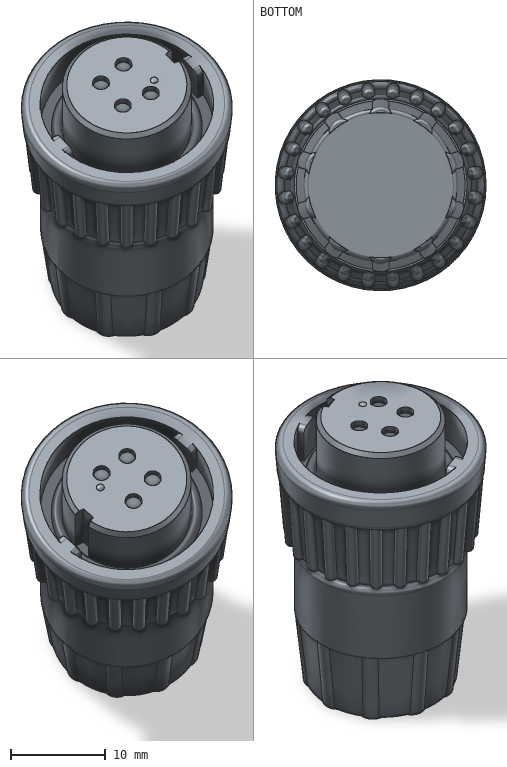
import cadquery as cq
import math

total_height = 33.85
cable_end_z = 0.15
barrel_bottom_z = 8.8
barrel_top_z = 17.7
ring_bottom_z = 18.52
knurl_top_z = 26.68
ring_top_z = 30.55
insert_top_z = 33.75
socket_floor_z = 26.35

grip_slope = 0.1
ring_slope = 0.075

grip_top_radius = 8.9
grip_bottom_round = 0.4
grip_rib_count = 10
grip_rib_first_angle = 18.0
grip_rib_radius = 1.6
grip_rib_rise = 0.2
grip_rib_inner_radius = 7.65

rib_overrun = 0.35

barrel_radius = 9.1
barrel_top_round = 0.7
neck_radius = 7.82

ring_top_diameter = 22.38
ring_top_round = 0.8
band_bottom_round = 0.68
ring_bottom_round = 0.45
socket_radius = 9.15
knurl_depth = 0.75
knurl_count = 24
knurl_rib_radius = 0.68
knurl_rib_inset = 0.07

tab_width = 2.95
tab_inner_y = 8.25
tab_corner_round = 0.75
tab_root_depth = 0.35

insert_radius = 6.8
insert_chamfer_width = 0.47
insert_chamfer_height = 0.45
seal_radius = 0.58
keyway_mouth_width = 2.03
keyway_floor_width = 1.42
keyway_floor_y = 5.75
contact_circle_radius = 2.75
contact_angles = (30.0, 150.0, 226.3, 313.7)
contact_radius = 0.88
contact_depth = 0.78
mark_x = 1.25
mark_y = 2.67
mark_radius = 0.4


def grip_radius(z):
    return grip_top_radius - grip_slope * (barrel_bottom_z - z)


def ring_radius(z):
    return ring_top_diameter / 2 - ring_slope * (ring_top_z - z)


def cone(radius_at, z_bottom, z_top, offset=0.0):
    """Solid cone between two heights whose radius follows radius_at(z) + offset."""
    return (
        cq.Workplane("XZ")
        .moveTo(0, z_bottom)
        .lineTo(radius_at(z_bottom) + offset, z_bottom)
        .lineTo(radius_at(z_top) + offset, z_top)
        .lineTo(0, z_top)
        .close()
        .revolve(360, (0, 0), (0, 1))
    )


def disc(radius, z_bottom, z_top):
    return cq.Workplane("XY").workplane(offset=z_bottom).circle(radius).extrude(z_top - z_bottom)


def leaning_ribs(radius_at, crest_offset, rib_radius, end_round, z_bottom, z_top, count, first_angle):
    """Round bars spaced about Z, their crests on a cone of radius_at(z) + crest_offset.

    Each bar is cut square to Z at both heights and its lower end is rounded.
    """
    axis_offset = crest_offset - rib_radius
    foot = cq.Vector(radius_at(z_bottom - rib_overrun) + axis_offset, 0, z_bottom - rib_overrun)
    head = cq.Vector(radius_at(z_top + rib_overrun) + axis_offset, 0, z_top + rib_overrun)
    lean = head - foot
    bar = (
        cq.Workplane(cq.Solid.makeCylinder(rib_radius, lean.Length, foot, lean))
        .intersect(disc(ring_top_diameter, z_bottom, z_top))
        .faces("<Z").edges().fillet(end_round)
    )
    ribs = cq.Workplane("XY")
    for i in range(count):
        ribs = ribs.add(bar.rotate((0, 0, 0), (0, 0, 1), first_angle + i * 360 / count))
    return ribs.combine()


def make_grip():
    core = cone(grip_radius, cable_end_z, barrel_bottom_z).faces("<Z").edges().fillet(grip_bottom_round)
    ribs = leaning_ribs(
        grip_radius, grip_rib_rise, grip_rib_radius, grip_bottom_round,
        0, barrel_bottom_z, grip_rib_count, grip_rib_first_angle,
    )
    return core.union(ribs.cut(disc(grip_rib_inner_radius, 0, cable_end_z)))


def make_barrel():
    barrel = disc(barrel_radius, barrel_bottom_z, barrel_top_z).faces(">Z").edges().fillet(barrel_top_round)
    return barrel.union(disc(neck_radius, barrel_top_z, ring_bottom_z))


def make_coupling_ring():
    band = (
        cone(ring_radius, knurl_top_z, ring_top_z)
        .faces(">Z").edges().fillet(ring_top_round)
        .faces("<Z").edges().fillet(band_bottom_round)
    )
    root = (
        cone(ring_radius, ring_bottom_z, knurl_top_z, -knurl_depth)
        .faces("<Z").edges().fillet(ring_bottom_round)
    )
    ribs = leaning_ribs(
        ring_radius, -knurl_rib_inset, knurl_rib_radius, ring_bottom_round,
        ring_bottom_z, knurl_top_z + band_bottom_round, knurl_count, 180 / knurl_count,
    )
    return root.union(band).union(ribs).cut(disc(socket_radius, socket_floor_z, ring_top_z))


def make_tabs():
    """Two inward tabs with rounded shoulders, at +Y and -Y of the socket."""
    tab_outer_y = socket_radius + tab_root_depth
    tab_height = ring_top_z - socket_floor_z
    tab = (
        cq.Workplane("XY")
        .box(tab_width, tab_outer_y - tab_inner_y, tab_height, centered=(True, False, False))
        .edges("|Y and >Z").fillet(tab_corner_round)
        .translate((0, tab_inner_y, socket_floor_z))
    )
    return tab.union(tab.mirror("XZ"))


def make_insert():
    post = disc(insert_radius, socket_floor_z, insert_top_z)
    post = post.faces(">Z").edges().chamfer(insert_chamfer_height, insert_chamfer_width)
    keyway = (
        cq.Workplane("XY")
        .workplane(offset=socket_floor_z)
        .moveTo(-keyway_floor_width / 2, keyway_floor_y)
        .lineTo(keyway_floor_width / 2, keyway_floor_y)
        .lineTo(keyway_mouth_width / 2, insert_radius)
        .lineTo(-keyway_mouth_width / 2, insert_radius)
        .close()
        .extrude(insert_top_z - socket_floor_z)
    )
    contact_points = [
        (contact_circle_radius * math.cos(math.radians(a)), contact_circle_radius * math.sin(math.radians(a)))
        for a in contact_angles
    ]
    contacts = (
        cq.Workplane("XY")
        .workplane(offset=insert_top_z - contact_depth)
        .pushPoints(contact_points)
        .circle(contact_radius)
        .extrude(contact_depth)
    )
    return post.cut(keyway).cut(contacts)


def make_seal():
    """Sealing ring half sunk in the socket floor, hugging the insert."""
    return (
        cq.Workplane("XZ")
        .center(insert_radius + seal_radius, socket_floor_z)
        .circle(seal_radius)
        .revolve(360, (-insert_radius - seal_radius, 0), (-insert_radius - seal_radius, 1))
    )


def make_mark():
    """Low domed dot on the mating face beside one of the contacts."""
    rise = total_height - insert_top_z
    dome_radius = (mark_radius ** 2 + rise ** 2) / (2 * rise)
    ball = cq.Workplane("XY").sphere(dome_radius).translate((mark_x, mark_y, total_height - dome_radius))
    column = disc(mark_radius, insert_top_z - rise, total_height).translate((mark_x, mark_y, 0))
    return ball.intersect(column)


result = (
    make_grip()
    .union(make_barrel())
    .union(make_coupling_ring())
    .union(make_tabs())
    .union(make_insert())
    .union(make_seal())
    .union(make_mark())
)